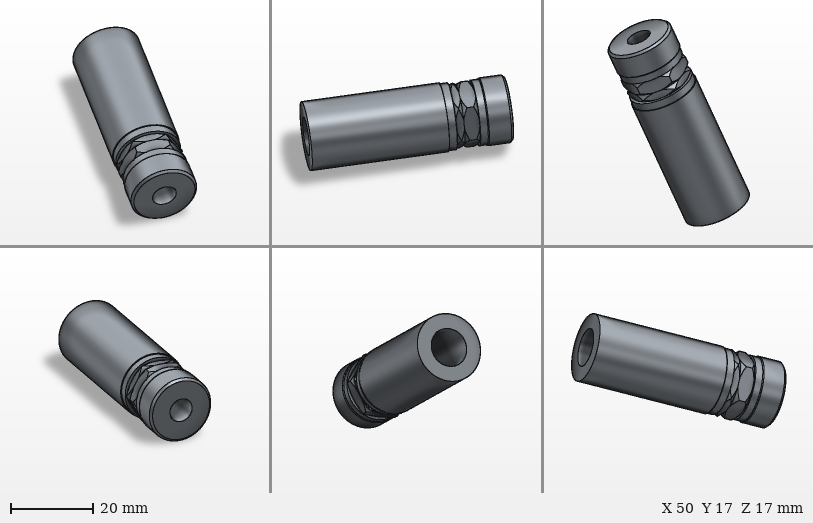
import cadquery as cq
import math

SLEEVE_END = 34.0
COLLAR_END = 36.0
LOCK_NUT_END = 38.0
MAIN_NUT_END = 41.8
NECK_END = 43.65
TOTAL_LENGTH = 50.0

SLEEVE_DIAMETER = 17.0
COLLAR_DIAMETER = 16.5
NECK_DIAMETER = 16.2
CAP_DIAMETER = 16.7
CAP_INNER_CHAMFER = 0.25
CAP_OUTER_CHAMFER = 0.6

MAIN_NUT_ACROSS_FLATS = 14.7
LOCK_NUT_ACROSS_FLATS = 14.65
NUT_FACE_DIAMETER = 14.8

THROUGH_DIAMETER = 6.0
SOCKET_DIAMETER = 9.5
SOCKET_DEPTH = SLEEVE_END


def cylinder(start, end, diameter):
    """Solid cylinder around the X axis."""
    return cq.Workplane("YZ", origin=(start, 0, 0)).circle(diameter / 2).extrude(end - start)


def hex_nut(start, end, across_flats):
    """Hexagonal prism with corners on +Y and -Y, trimmed by a cone at each end."""
    width = end - start
    face_radius = NUT_FACE_DIAMETER / 2
    corner_diameter = across_flats / math.cos(math.pi / 6)
    prism = cq.Workplane("YZ", origin=(start, 0, 0)).polygon(6, corner_diameter).extrude(width)
    bevel_envelope = (
        cq.Workplane("XY")
        .moveTo(start, 0)
        .lineTo(start, face_radius)
        .lineTo(start + width / 2, face_radius + width / 2)
        .lineTo(end, face_radius)
        .lineTo(end, 0)
        .close()
        .revolve(360, (0, 0, 0), (1, 0, 0))
    )
    return prism.intersect(bevel_envelope)


sleeve = cylinder(0, SLEEVE_END, SLEEVE_DIAMETER)
collar = cylinder(SLEEVE_END, COLLAR_END, COLLAR_DIAMETER)
lock_nut = hex_nut(COLLAR_END, LOCK_NUT_END, LOCK_NUT_ACROSS_FLATS)
main_nut = hex_nut(LOCK_NUT_END, MAIN_NUT_END, MAIN_NUT_ACROSS_FLATS)
neck = cylinder(MAIN_NUT_END, NECK_END, NECK_DIAMETER)
cap = (
    cylinder(NECK_END, TOTAL_LENGTH, CAP_DIAMETER)
    .faces("<X").chamfer(CAP_INNER_CHAMFER)
    .faces(">X").chamfer(CAP_OUTER_CHAMFER)
)

through_bore = cylinder(0, TOTAL_LENGTH, THROUGH_DIAMETER)
socket = cylinder(0, SOCKET_DEPTH, SOCKET_DIAMETER)

result = sleeve
for section in (collar, lock_nut, main_nut, neck, cap):
    result = result.union(section)
result = result.cut(through_bore).cut(socket)